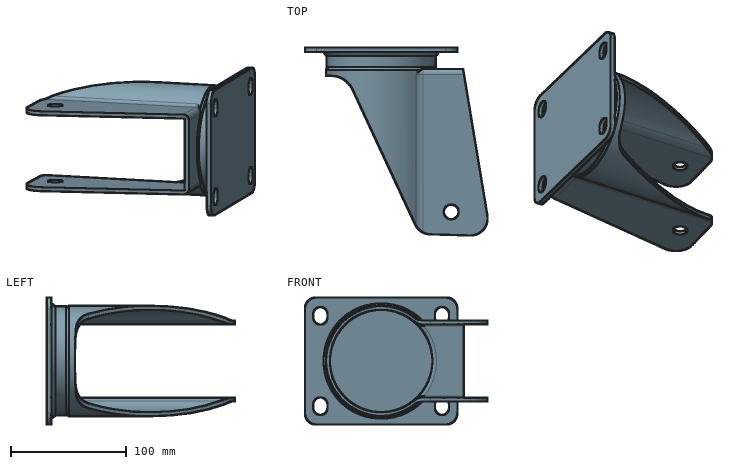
import cadquery as cq
import math


plate_length = 132.0
plate_width = 110.0
plate_thickness = 4.0
plate_corner_radius = 10.0
slot_width = 12.0
slot_length = 15.0
slot_spacing_x = 105.1
slot_spacing_z = 78.1

housing_radius = 47.4
housing_flare_radius = 49.8
housing_flare_depth = 7.5

sheet = 3.5
head_depth = 17.0
head_step = 1.6
shell_radius = 47.8
shell_chamfer_radial = 1.8
shell_chamfer_axial = 2.6
leg_half_gap = 31.5
leg_start_x = 36.0
bend_inner_radius = 1.3

fork_length = 162.7
collar_depth = 24.7
front_corner_x = -30.3
front_corner_radius = 20.0
toe_corner_x = 33.2
toe_corner_depth = 161.4
toe_corner_radius = 15.0
heel_corner_x = 94.9
heel_corner_depth = 163.2
heel_corner_radius = 15.0
trailing_top_x = 70.6

axle_x = 60.5
axle_depth = 142.2
axle_diameter = 12.5

shell_inner_radius = shell_radius - sheet
leg_half_width = leg_half_gap + sheet
bend_outer_radius = bend_inner_radius + sheet
web_depth = head_depth + head_step
floor_depth = head_depth + sheet
web_inner_depth = web_depth + sheet

flare_radius = (leg_start_x**2 + leg_half_width**2 - shell_radius**2) / (2 * (shell_radius - leg_half_width))
flare_center_z = leg_half_width + flare_radius
flare_angle = math.atan2(flare_center_z, leg_start_x)


def at_depth(depth):
    """Workplane at a given depth, drawing in X and Z and extruding towards -Y."""
    return cq.Workplane("XZ", origin=(0, -depth, 0))


def make_plate():
    plate = at_depth(0).rect(plate_length, plate_width).extrude(plate_thickness)
    plate = plate.edges("|Y").fillet(plate_corner_radius)
    slots = (
        at_depth(0)
        .rect(slot_spacing_x, slot_spacing_z, forConstruction=True)
        .vertices()
        .slot2D(slot_length, slot_width, 90)
        .extrude(plate_thickness)
    )
    return plate.cut(slots)


def make_housing():
    outline = [
        (0, 0),
        (housing_flare_radius, 0),
        (housing_flare_radius, -plate_thickness),
        (housing_radius, -housing_flare_depth),
        (housing_radius, -head_depth),
        (0, -head_depth),
    ]
    return cq.Workplane("XY").polyline(outline).close().revolve(360, (0, 0, 0), (0, 1, 0))


def make_channel(half_width, arc_radius, start, bend_radius):
    """Block between the leg faces, with flared sides and rounded bend lines."""
    def arc_point(angle):
        return (leg_start_x - arc_radius * math.cos(angle), flare_center_z - arc_radius * math.sin(angle))

    def mirrored(point):
        return (point[0], -point[1])

    shell_point = arc_point(flare_angle)
    middle_point = arc_point((flare_angle + math.pi / 2) / 2)
    leg_point = (leg_start_x, half_width)
    far_point = (heel_corner_x, half_width)
    channel = (
        at_depth(start)
        .moveTo(*shell_point)
        .threePointArc(middle_point, leg_point)
        .lineTo(*far_point)
        .lineTo(*mirrored(far_point))
        .lineTo(*mirrored(leg_point))
        .threePointArc(mirrored(middle_point), mirrored(shell_point))
        .close()
        .extrude(fork_length - start)
    )
    return channel.faces(">Y").edges("not |Z").fillet(bend_radius)


def make_fork_outside():
    cone_radius = shell_radius - shell_chamfer_radial
    shoulder_depth = head_depth + shell_chamfer_axial
    outline = [
        (0, -head_depth),
        (cone_radius, -head_depth),
        (shell_radius, -shoulder_depth),
        (shell_radius, -fork_length),
        (0, -fork_length),
    ]
    shell = cq.Workplane("XY").polyline(outline).close().revolve(360, (0, 0, 0), (0, 1, 0))
    return shell.union(make_channel(leg_half_width, flare_radius, web_depth, bend_outer_radius))


def make_fork_inside():
    cavity = at_depth(floor_depth).circle(shell_inner_radius).extrude(fork_length - floor_depth)
    channel = make_channel(leg_half_gap, flare_radius + sheet, web_inner_depth, bend_inner_radius)
    return cavity.union(channel).union(make_floor_rim())


def make_floor_rim():
    """Rounded step from the head floor out to the web, on the leg side only."""
    rim_radius = (sheet**2 + head_step**2) / (2 * head_step)
    half_angle = math.asin(sheet / rim_radius) / 2
    middle_point = (
        shell_radius - rim_radius * math.sin(half_angle),
        -web_inner_depth + rim_radius * (1 - math.cos(half_angle)),
    )
    rim = (
        cq.Workplane("XY")
        .moveTo(0, -floor_depth)
        .lineTo(shell_inner_radius, -floor_depth)
        .threePointArc(middle_point, (shell_radius, -web_inner_depth))
        .lineTo(0, -web_inner_depth)
        .close()
        .revolve(360, (0, 0, 0), (0, 1, 0))
    )
    leg_side = make_channel(leg_half_gap, flare_radius + sheet, floor_depth, bend_inner_radius)
    return rim.intersect(leg_side)


def make_side_outline():
    """Outline of the fork seen along Z, extruded through its full width."""
    corners = [
        (-shell_radius, -head_depth),
        (-shell_radius, -collar_depth),
        (front_corner_x, -collar_depth),
        (toe_corner_x, -toe_corner_depth),
        (heel_corner_x, -heel_corner_depth),
        (trailing_top_x, -head_depth),
    ]
    body = cq.Workplane("XY").polyline(corners).close().extrude(shell_radius, both=True)

    def round_corner(solid, x, depth, radius):
        return solid.edges(cq.selectors.NearestToPointSelector((x, -depth, 0))).fillet(radius)

    body = round_corner(body, front_corner_x, collar_depth, front_corner_radius)
    body = round_corner(body, toe_corner_x, toe_corner_depth, toe_corner_radius)
    return round_corner(body, heel_corner_x, heel_corner_depth, heel_corner_radius)


def make_fork():
    fork = make_fork_outside().cut(make_fork_inside()).intersect(make_side_outline())
    axle_hole = (
        cq.Workplane("XY")
        .center(axle_x, -axle_depth)
        .circle(axle_diameter / 2)
        .extrude(leg_half_width, both=True)
    )
    return fork.cut(axle_hole)


result = make_plate().union(make_housing()).union(make_fork())